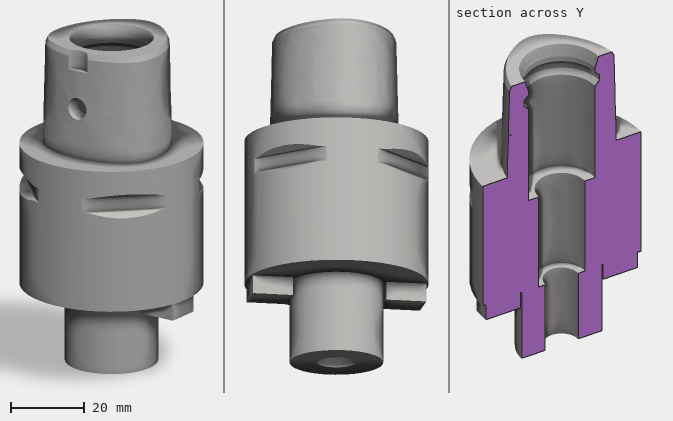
import math

import cadquery as cq


body_diameter = 50.0
body_length = 40.0
pilot_diameter = 25.4
pilot_length = 22.0
tenon_span = 47.8
tenon_gap = 25.7
tenon_width = 9.6
tenon_height = 5.0

shank_length = 30.0
gauge_diameter = 35.0
gauge_height = 2.5
taper_ratio = 1 / 20
lobe_eccentricity = 1.12
lead_in_length = 1.5
lead_in_angle = 25.0
outline_points = 48

seat_diameter = 23.0
bore_diameter = 20.9
seat_depth = 3.4
groove_start_depth = 5.0
groove_end_depth = 9.5
groove_depth = 1.4
bore_depth = 40.0
screw_head_diameter = 14.6
screw_head_depth = 70.0
screw_hole_diameter = 10.3

groove_count = 4
first_groove_angle = 45.0
gripper_drop = 10.0
gripper_floor_distance = 22.0
gripper_floor_height = 4.1
gripper_ledge = 0.9
gripper_flank_angle = 32.0
gripper_cut_clearance = 1.0

notch_depth = 5.3
notch_radius = 4.0
notch_inner_distance = 14.0
dimple_diameter = 6.1
dimple_height = 14.0
dimple_floor_distance = 11.5


def polygon_wire(mean_diameter, height):
    """Constant-width three-lobed outline with one lobe toward +Y."""

    def point(angle):
        radial = mean_diameter / 2 + lobe_eccentricity * math.cos(3 * angle)
        tangential = -3 * lobe_eccentricity * math.sin(3 * angle)
        x = -radial * math.sin(angle) - tangential * math.cos(angle)
        y = radial * math.cos(angle) - tangential * math.sin(angle)
        return cq.Vector(x, y, height)

    start = math.pi
    points = [point(start + 2 * math.pi * i / outline_points) for i in range(outline_points)]
    edge = cq.Edge.makeSpline(points, periodic=True)
    return cq.Wire.assembleEdges([edge])


def taper_diameter(height):
    return gauge_diameter + (gauge_height - height) * taper_ratio


def make_shank():
    lead_in_start = shank_length - lead_in_length
    lead_in_diameter = taper_diameter(lead_in_start)
    tip_diameter = lead_in_diameter - 2 * lead_in_length * math.tan(math.radians(lead_in_angle))
    base = polygon_wire(taper_diameter(0), 0)
    shoulder = polygon_wire(lead_in_diameter, lead_in_start)
    tip = polygon_wire(tip_diameter, shank_length)
    taper = cq.Solid.makeLoft([base, shoulder], True)
    lead_in = cq.Solid.makeLoft([shoulder, tip], True)
    return cq.Workplane(taper).union(cq.Workplane(lead_in))


def make_body():
    body = cq.Workplane("XY").circle(body_diameter / 2).extrude(-body_length)
    below_body = cq.Workplane("XY", origin=(0, 0, -body_length))
    pilot = below_body.circle(pilot_diameter / 2).extrude(-pilot_length)
    tenon_length = (tenon_span - tenon_gap) / 2
    tenon_center = (tenon_span + tenon_gap) / 4
    tenon_places = below_body.pushPoints([(-tenon_center, 0), (tenon_center, 0)])
    tenons = tenon_places.rect(tenon_length, tenon_width).extrude(-tenon_height)
    return body.union(pilot).union(tenons)


def make_bore():
    """Seat cone, relief groove, bore, screw head recess and through hole, revolved about Z."""
    bore_radius = bore_diameter / 2
    groove_radius = bore_radius + groove_depth
    screw_head_radius = screw_head_diameter / 2
    screw_hole_radius = screw_hole_diameter / 2
    through_depth = shank_length + body_length + pilot_length
    profile = [
        (0, 0),
        (seat_diameter / 2, 0),
        (bore_radius, seat_depth),
        (bore_radius, groove_start_depth),
        (groove_radius, groove_start_depth + groove_depth),
        (groove_radius, groove_end_depth - groove_depth),
        (bore_radius, groove_end_depth),
        (bore_radius, bore_depth),
        (screw_head_radius, bore_depth),
        (screw_head_radius, screw_head_depth),
        (screw_hole_radius, screw_head_depth),
        (screw_hole_radius, through_depth),
        (0, through_depth),
    ]
    points = [(radius, shank_length - depth) for radius, depth in profile]
    return cq.Workplane("XZ").polyline(points).close().revolve(360, (0, 0, 0), (0, 1, 0))


def make_gripper_grooves():
    """Tangential grooves with a flat floor, short square ledges and sloped flanks."""
    ledge_distance = gripper_floor_distance + gripper_ledge
    outer_distance = body_diameter / 2 + gripper_cut_clearance
    half_floor = gripper_floor_height / 2
    flank_rise = (outer_distance - ledge_distance) * math.tan(math.radians(gripper_flank_angle))
    half_mouth = half_floor + flank_rise
    profile = [
        (gripper_floor_distance, -half_floor),
        (ledge_distance, -half_floor),
        (outer_distance, -half_mouth),
        (outer_distance, half_mouth),
        (ledge_distance, half_floor),
        (gripper_floor_distance, half_floor),
    ]
    section = cq.Workplane("XZ", origin=(0, 0, -gripper_drop)).polyline(profile).close()
    groove = section.extrude(body_diameter / 2, both=True)
    grooves = cq.Workplane()
    for i in range(groove_count):
        angle = first_groove_angle + i * 360 / groove_count
        grooves = grooves.add(groove.rotate((0, 0, 0), (0, 0, 1), angle))
    return grooves.combine()


def make_notch():
    """Round-backed notch in the shank end face."""
    center_y = -(notch_inner_distance + notch_radius)
    end_face = cq.Workplane("XY", origin=(0, 0, shank_length))
    return end_face.center(0, center_y).circle(notch_radius).extrude(-notch_depth)


def make_dimple():
    """Flat-bottomed round recess in the side of the shank."""
    floor = cq.Workplane("XZ", origin=(0, -dimple_floor_distance, dimple_height))
    return floor.circle(dimple_diameter / 2).extrude(gauge_diameter / 2)


result = make_body().union(make_shank())
result = result.cut(make_bore())
result = result.cut(make_gripper_grooves())
result = result.cut(make_notch())
result = result.cut(make_dimple())